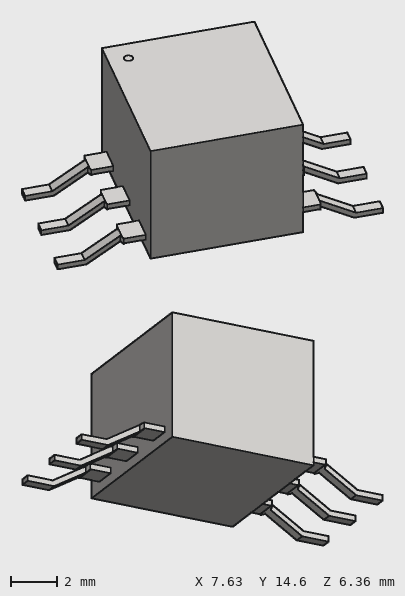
import cadquery as cq
import math

housing_length = 7.63
housing_width = 6.85
housing_height = 5.85
lead_span = 14.61
standoff = 0.51

lead_pitch = 2.54
leads_per_side = 3
lead_width = 0.51
lead_thickness = 0.26
lead_top = 1.27
foot_length = 1.21

shoulder_width = 1.07
shoulder_side_length = 1.0
taper_length = 0.07
bend_distance = 1.02

marker_diameter = 0.4
marker_depth = 0.1
marker_x = -housing_length / 2 + 1.01
marker_y = -housing_width / 2 + 0.9

housing_top = standoff + housing_height
housing_face = housing_width / 2
foot_tip = lead_span / 2
bend_y = housing_face + bend_distance
taper_start_y = housing_face + shoulder_side_length
taper_end_y = taper_start_y + taper_length


def make_marker():
    """Flat disc that fills the recess in the top face."""
    return (
        cq.Workplane("XY", origin=(marker_x, marker_y, housing_top - marker_depth))
        .circle(marker_diameter / 2)
        .extrude(marker_depth)
    )


def make_housing(marker):
    """Plain block with a shallow recess for the marker."""
    block = cq.Workplane("XY", origin=(0, 0, standoff)).box(
        housing_length, housing_width, housing_height, centered=(True, True, False)
    )
    return block.cut(marker)


def lead_outline():
    """Lead seen from above, as a tall prism: wide shoulder, tapered end, narrow strip."""
    half_shoulder = shoulder_width / 2
    half_lead = lead_width / 2
    return (
        cq.Workplane("XY")
        .moveTo(-half_shoulder, housing_face)
        .lineTo(half_shoulder, housing_face)
        .lineTo(half_shoulder, taper_start_y)
        .lineTo(half_lead, taper_end_y)
        .lineTo(half_lead, foot_tip)
        .lineTo(-half_lead, foot_tip)
        .lineTo(-half_lead, taper_end_y)
        .lineTo(-half_shoulder, taper_start_y)
        .close()
        .extrude(lead_top)
    )


def bent_sheet():
    """Sheet of constant thickness, bent down to the foot, as wide as the shoulder."""
    shoulder_bottom = lead_top - lead_thickness
    foot_bend_y = foot_tip - foot_length
    slope_angle = math.atan2(lead_top - lead_thickness, foot_bend_y - bend_y)
    mitre_shift = lead_thickness * math.tan(slope_angle / 2)
    return (
        cq.Workplane("YZ")
        .moveTo(housing_face, lead_top)
        .lineTo(bend_y, lead_top)
        .lineTo(foot_bend_y, lead_thickness)
        .lineTo(foot_tip, lead_thickness)
        .lineTo(foot_tip, 0)
        .lineTo(foot_bend_y - mitre_shift, 0)
        .lineTo(bend_y - mitre_shift, shoulder_bottom)
        .lineTo(housing_face, shoulder_bottom)
        .close()
        .extrude(shoulder_width / 2, both=True)
    )


def make_leads():
    """Two mirrored rows of equal leads, one row on each long side."""
    lead = lead_outline().intersect(bent_sheet())
    leads = []
    for index in range(leads_per_side):
        x = (index - (leads_per_side - 1) / 2) * lead_pitch
        back_lead = lead.translate((x, 0, 0))
        leads.append(back_lead.val())
        leads.append(back_lead.mirror("XZ").val())
    return leads


marker = make_marker()
housing = make_housing(marker)
leads = make_leads()

result = cq.Compound.makeCompound([housing.val(), marker.val(), *leads])